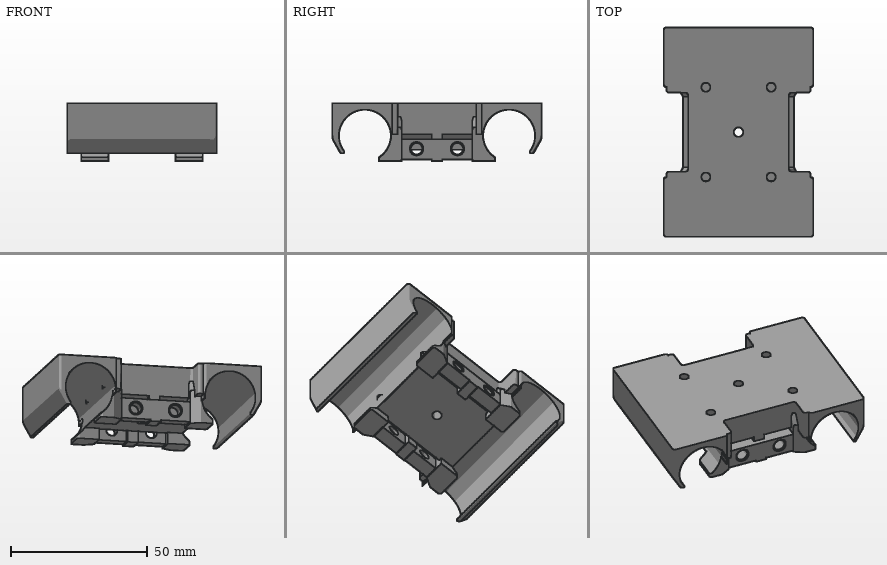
import cadquery as cq
import math

LENGTH_X = 55.0
WIDTH_Y = 77.0
TOP_Z = 12.0
FOOT_BOTTOM_Z = -9.4
EDGE_RADIUS = 1.0

ROD_Y = 26.5
ROD_RADIUS = 9.5
LIP_BOTTOM_Z = -6.5
LIP_LEAN = math.radians(30)
LIP_BEND_RADIUS = 4.4
LIP_TIP_RADIUS = 0.5

WAIST_X = 18.5
NOTCH_Y = 14.5
STEP_X = LENGTH_X / 2 - 1.0
STEP_Y = 16.5

WEB_BOTTOM_Z = -5.2
HOLLOW_TOP_Z = 0.6
HOLLOW_RADIUS = 5.0
WEB_X = WAIST_X - HOLLOW_RADIUS
HOLLOW_HALF_Y = 22.0
EAR_RIM_Y = 16.75
EAR_RIM_BOTTOM_Z = -1.1

FOOT_INNER_X = 12.3
FOOT_OUTER_X = 22.4
FOOT_INNER_Y = 13.0
FOOT_TIP_Y = 21.4

PLATE_OUTER_X = 20.4
PLATE_INNER_X = 15.4
PLATE_TOP_Z = -1.3
PLATE_BOTTOM_Z = -8.8
SIDE_HOLE_Y = 7.5
SIDE_HOLE_Z = -4.8
SIDE_HOLE_DIAMETER = 4.2
SIDE_BORE_DIAMETER = 5.0
SIDE_BORE_DEPTH = 0.5
RIB_HALF_Y = 2.0

FOOT_FACE_ANGLE = math.radians(30)
POST_SHOULDER_Z = 3.0
POST_TOP_Z = 7.0
POST_SLOPE_RUN = 1.9
POST_EDGE_RADIUS = 1.0

CENTRE_HOLE_DIAMETER = 3.4
SCREW_HOLE_DIAMETER = 3.3
SCREW_HOLE_DEPTH = 8.0
SCREW_HOLE_X = 12.0
SCREW_HOLE_Y = 16.5

SIDES = (-1, 1)
SELECT_MARGIN = 0.1


def box(x_range, y_range, z_range):
    """Axis-aligned box given by its limits."""
    size = [high - low for low, high in (x_range, y_range, z_range)]
    corner = (x_range[0], y_range[0], z_range[0])
    return cq.Workplane("XY").box(*size, centered=False).translate(corner)


def mirrored_to_all_quadrants(shape):
    """The shape together with its mirror images in the XZ and YZ planes."""
    pair = shape.union(shape.mirror("YZ"))
    return pair.union(pair.mirror("XZ"))


def rod_channels():
    rods = cq.Workplane("YZ").pushPoints([(side * ROD_Y, 0) for side in SIDES])
    return rods.circle(ROD_RADIUS).extrude(LENGTH_X, both=True)


def outer_block():
    """Half profile with the inward-leaning outer wall, extruded along X and mirrored."""
    outer_y = WIDTH_Y / 2
    bend_y = outer_y - LIP_BEND_RADIUS * (1 - math.cos(LIP_LEAN))
    bend_z = -LIP_BEND_RADIUS * math.sin(LIP_LEAN)
    mid_y = outer_y - LIP_BEND_RADIUS * (1 - math.cos(LIP_LEAN / 2))
    mid_z = -LIP_BEND_RADIUS * math.sin(LIP_LEAN / 2)
    tip_y = bend_y - (bend_z - LIP_BOTTOM_Z) * math.tan(LIP_LEAN)
    half = (
        cq.Workplane("YZ")
        .moveTo(0, TOP_Z)
        .lineTo(outer_y, TOP_Z)
        .lineTo(outer_y, 0)
        .threePointArc((mid_y, mid_z), (bend_y, bend_z))
        .lineTo(tip_y, LIP_BOTTOM_Z)
        .lineTo(ROD_Y, LIP_BOTTOM_Z)
        .lineTo(ROD_Y, WEB_BOTTOM_Z)
        .lineTo(0, WEB_BOTTOM_Z)
        .close()
        .extrude(LENGTH_X / 2, both=True)
    )
    end_corner = cq.selectors.BoxSelector(
        (-LENGTH_X, tip_y - SELECT_MARGIN, LIP_BOTTOM_Z + SELECT_MARGIN),
        (LENGTH_X, outer_y + SELECT_MARGIN, TOP_Z - SELECT_MARGIN),
    )
    half = half.faces("<X or >X").edges(end_corner).fillet(EDGE_RADIUS)
    block = half.union(half.mirror("XZ")).cut(rod_channels())
    tip_inner_y = ROD_Y + math.sqrt(ROD_RADIUS**2 - LIP_BOTTOM_Z**2)
    for side in SIDES:
        tip_edge = cq.selectors.NearestToPointSelector((0, side * tip_inner_y, LIP_BOTTOM_Z))
        block = block.edges(tip_edge).fillet(LIP_TIP_RADIUS)
    return block


def waist_notch():
    """Quarter of the waist cut-out, +X +Y quadrant: waist wall, rounded corners and the small outer step."""
    r = EDGE_RADIUS
    end_x = LENGTH_X / 2
    outline = (
        cq.Workplane("XY")
        .moveTo(WAIST_X, 0)
        .lineTo(WAIST_X, NOTCH_Y - r)
        .radiusArc((WAIST_X + r, NOTCH_Y), r)
        .lineTo(STEP_X - r, NOTCH_Y)
        .radiusArc((STEP_X, NOTCH_Y + r), -r)
        .lineTo(STEP_X, STEP_Y)
        .radiusArc((end_x, STEP_Y + r), -r)
        .lineTo(end_x + r, STEP_Y + r)
        .lineTo(end_x + r, 0)
        .close()
    )
    return outline.extrude(TOP_Z - FOOT_BOTTOM_Z).translate((0, 0, FOOT_BOTTOM_Z))


def ear_rim(side):
    """Strip beside a rod channel where the ear reaches below the hollow's ceiling."""
    y_range = sorted((side * EAR_RIM_Y, side * ROD_Y))
    return box((FOOT_INNER_X, LENGTH_X), y_range, (EAR_RIM_BOTTOM_Z, HOLLOW_TOP_Z))


def side_hollow():
    """Space under the +X ear and waist, blending into the web with a concave quarter round."""
    centre_z = HOLLOW_TOP_Z - HOLLOW_RADIUS
    return (
        cq.Workplane("XZ")
        .moveTo(WEB_X, FOOT_BOTTOM_Z)
        .lineTo(WEB_X, centre_z)
        .radiusArc((WAIST_X, HOLLOW_TOP_Z), HOLLOW_RADIUS)
        .lineTo(LENGTH_X, HOLLOW_TOP_Z)
        .lineTo(LENGTH_X, FOOT_BOTTOM_Z)
        .close()
        .extrude(HOLLOW_HALF_Y, both=True)
        .cut(ear_rim(SIDES[0]))
        .cut(ear_rim(SIDES[1]))
    )


def foot_outline():
    oblique_y = FOOT_INNER_Y + (FOOT_OUTER_X - PLATE_OUTER_X) / math.tan(FOOT_FACE_ANGLE)
    return (
        cq.Workplane("XY")
        .moveTo(FOOT_INNER_X, FOOT_INNER_Y)
        .lineTo(PLATE_OUTER_X, FOOT_INNER_Y)
        .lineTo(FOOT_OUTER_X, oblique_y)
        .lineTo(FOOT_OUTER_X, FOOT_TIP_Y)
        .lineTo(FOOT_INNER_X, FOOT_TIP_Y)
        .close()
    )


def foot():
    """Clip foot under the rod channel in the +X +Y quadrant."""
    block = foot_outline().extrude(HOLLOW_TOP_Z - FOOT_BOTTOM_Z)
    block = block.edges("|Z").edges(">X or >Y").fillet(EDGE_RADIUS)
    return block.translate((0, 0, FOOT_BOTTOM_Z)).cut(rod_channels())


def post():
    """Upward extension of the foot into the notch, its top sloping up to the waist wall."""
    column = foot_outline().extrude(POST_TOP_Z - HOLLOW_TOP_Z).translate((0, 0, HOLLOW_TOP_Z))
    within_notch = box((WAIST_X, FOOT_OUTER_X), (FOOT_INNER_Y, NOTCH_Y), (HOLLOW_TOP_Z, POST_TOP_Z))
    slope_cutter = (
        cq.Workplane("XZ")
        .moveTo(0, POST_SHOULDER_Z)
        .lineTo(-POST_SLOPE_RUN, POST_TOP_Z)
        .lineTo(POST_SLOPE_RUN, POST_TOP_Z)
        .lineTo(POST_SLOPE_RUN, POST_SHOULDER_Z)
        .close()
        .extrude(WIDTH_Y, both=True)
        .rotate((0, 0, 0), (0, 0, 1), -math.degrees(FOOT_FACE_ANGLE))
        .translate((PLATE_OUTER_X, FOOT_INNER_Y, 0))
    )
    sloped = column.intersect(within_notch).cut(slope_cutter)
    return sloped.faces("<Y").edges("not (|X or |Z)").fillet(POST_EDGE_RADIUS)


def side_plate():
    """Plate between the two +X feet, with its middle rib and two counterbored holes."""
    plate = box((PLATE_INNER_X, PLATE_OUTER_X), (-FOOT_INNER_Y, FOOT_INNER_Y), (PLATE_BOTTOM_Z, PLATE_TOP_Z))
    pad = box((PLATE_INNER_X, PLATE_OUTER_X), (-RIB_HALF_Y, RIB_HALF_Y), (FOOT_BOTTOM_Z, PLATE_TOP_Z))
    rib = box((WEB_X, WAIST_X), (-RIB_HALF_Y, RIB_HALF_Y), (FOOT_BOTTOM_Z, HOLLOW_TOP_Z))
    holes = [(side * SIDE_HOLE_Y, SIDE_HOLE_Z) for side in SIDES]
    plate = plate.cut(
        cq.Workplane("YZ").pushPoints(holes).circle(SIDE_HOLE_DIAMETER / 2).extrude(LENGTH_X)
    )
    plate = plate.cut(
        cq.Workplane("YZ", origin=(PLATE_OUTER_X - SIDE_BORE_DEPTH, 0, 0))
        .pushPoints(holes)
        .circle(SIDE_BORE_DIAMETER / 2)
        .extrude(SIDE_BORE_DEPTH)
    )
    return plate.union(pad).union(rib)


def top_holes():
    centre = cq.Workplane("XY").circle(CENTRE_HOLE_DIAMETER / 2).extrude(LENGTH_X, both=True)
    screws = (
        cq.Workplane("XY", origin=(0, 0, TOP_Z))
        .rect(2 * SCREW_HOLE_X, 2 * SCREW_HOLE_Y, forConstruction=True)
        .vertices()
        .circle(SCREW_HOLE_DIAMETER / 2)
        .extrude(-SCREW_HOLE_DEPTH)
    )
    return centre.union(screws)


hollow_cut = side_hollow()
clip_plate = side_plate()

result = (
    outer_block()
    .cut(mirrored_to_all_quadrants(waist_notch()))
    .cut(hollow_cut)
    .cut(hollow_cut.mirror("YZ"))
    .union(mirrored_to_all_quadrants(foot().union(post())))
    .union(clip_plate)
    .union(clip_plate.mirror("YZ"))
    .cut(top_holes())
)